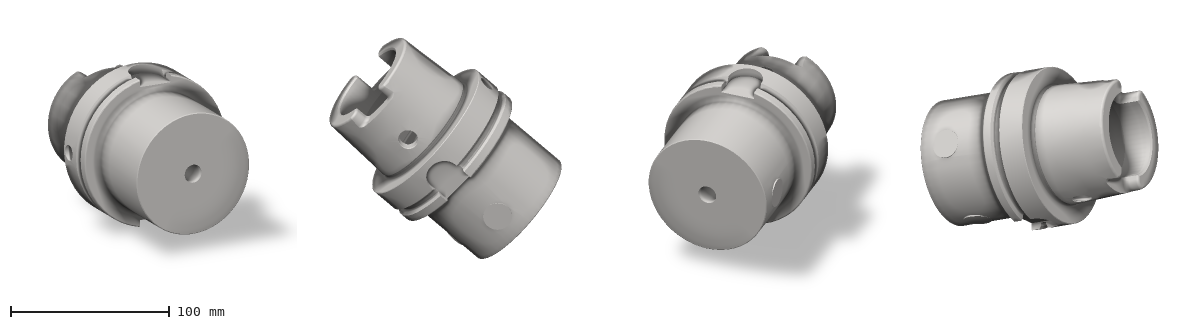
import cadquery as cq
import math


total_length = 129.9
taper_end_x = 47.3
taper_end_radius = 38.0
taper_slope = 0.05
tip_round = 1.7
relief_start_x = 48.0
relief_radius = 37.5
neck_round = 1.2
face_undercut_depth = 0.1
face_undercut_radius = 39.5

flange_face_x = 50.0
flange_back_x = 78.7
flange_radius = 50.0
flange_chamfer = 0.4
flange_back_round = 0.9
groove_start_x = 66.5
groove_end_x = 72.9
groove_floor_start_x = 68.8
groove_floor_end_x = 71.0
groove_floor_round = 0.8
groove_depth = 4.0
groove_side_angle = 30.0

nose_radius = 40.0
nose_root_round = 3.0
nose_chamfer = 0.5

mouth_radius = 26.2
mouth_chamfer = 1.0
lip_end_x = 19.5
cavity_radius = 31.5
cavity_widest_x = 39.4
cavity_back_radius = 26.2
cavity_floor_x = 50.7
cavity_floor_round = 1.4
tube_seat_radius = 11.2
tube_seat_chamfer = 0.9
tube_seat_depth = 13.0
coolant_radius = 6.0

drive_half_width = 9.94
drive_corner_radius = 5.2
drive_corner_z = 27.1
drive_outer_half_width = 24.7
drive_edge_round = 1.7
drive_floor_round = 2.3
upper_drive_depth = 15.3
lower_drive_depth = 10.0

access_hole_x = 35.2
access_hole_radius = 6.0
access_hole_chamfer = 0.4
keyway_start_x = 54.5
keyway_width = 22.1
keyway_floor_z = 44.0
chip_hole_x = 56.8
chip_hole_radius = 5.1
chip_hole_depth = 4.5

screw_x = 111.5
screw_radius = 9.1
screw_length = 19.5
screw_directions = [cq.Vector(0, 1, 0), cq.Vector(0, 0, -1)]


def revolve_about_x(profile):
    return profile.close().revolve(360, (0, 0, 0), (1, 0, 0))


def half_turn(body):
    return body.rotate((0, 0, 0), (1, 0, 0), 180)


def outer_body():
    tip_radius = taper_end_radius - taper_slope * (taper_end_x - tip_round)
    undercut_x = flange_face_x + face_undercut_depth
    groove_floor_radius = flange_radius - groove_depth
    groove_wall_start_x = groove_floor_start_x - groove_floor_round
    groove_wall_end_x = groove_floor_end_x + groove_floor_round
    rise_per_run = 1 / math.tan(math.radians(groove_side_angle))
    front_slope_depth = (groove_wall_start_x - groove_start_x) * rise_per_run
    back_slope_depth = (groove_end_x - groove_wall_end_x) * rise_per_run
    profile = (
        cq.Workplane("XY")
        .lineTo(0, tip_radius - tip_round)
        .radiusArc((tip_round, tip_radius), tip_round)
        .lineTo(taper_end_x, taper_end_radius)
        .lineTo(relief_start_x, relief_radius)
        .lineTo(undercut_x - neck_round, relief_radius)
        .radiusArc((undercut_x, relief_radius + neck_round), -neck_round)
        .lineTo(flange_face_x, face_undercut_radius)
        .lineTo(flange_face_x, flange_radius - flange_chamfer)
        .lineTo(flange_face_x + flange_chamfer, flange_radius)
        .lineTo(groove_start_x, flange_radius)
        .lineTo(groove_wall_start_x, flange_radius - front_slope_depth)
        .lineTo(groove_wall_start_x, groove_floor_radius + groove_floor_round)
        .radiusArc((groove_floor_start_x, groove_floor_radius), -groove_floor_round)
        .lineTo(groove_floor_end_x, groove_floor_radius)
        .radiusArc((groove_wall_end_x, groove_floor_radius + groove_floor_round), -groove_floor_round)
        .lineTo(groove_wall_end_x, flange_radius - back_slope_depth)
        .lineTo(groove_end_x, flange_radius)
        .lineTo(flange_back_x - flange_back_round, flange_radius)
        .radiusArc((flange_back_x, flange_radius - flange_back_round), flange_back_round)
        .lineTo(flange_back_x, nose_radius + nose_root_round)
        .radiusArc((flange_back_x + nose_root_round, nose_radius), -nose_root_round)
        .lineTo(total_length - nose_chamfer, nose_radius)
        .lineTo(total_length, nose_radius - nose_chamfer)
        .lineTo(total_length, 0)
    )
    return revolve_about_x(profile)


def cavity():
    seat_end_x = cavity_floor_x + tube_seat_depth
    profile = (
        cq.Workplane("XY")
        .lineTo(0, mouth_radius + mouth_chamfer)
        .lineTo(mouth_chamfer, mouth_radius)
        .lineTo(lip_end_x, mouth_radius)
        .lineTo(cavity_widest_x, cavity_radius)
        .lineTo(cavity_floor_x - cavity_floor_round, cavity_back_radius)
        .radiusArc((cavity_floor_x, cavity_back_radius - cavity_floor_round), cavity_floor_round)
        .lineTo(cavity_floor_x, tube_seat_radius + tube_seat_chamfer)
        .lineTo(cavity_floor_x + tube_seat_chamfer, tube_seat_radius)
        .lineTo(seat_end_x, tube_seat_radius)
        .lineTo(seat_end_x, coolant_radius)
        .lineTo(total_length, coolant_radius)
        .lineTo(total_length, 0)
    )
    return revolve_about_x(profile)


def drive_corner_edges(body, x):
    """Edges of the wall and round corner of the drive profile that lie in the plane at x."""
    margin = 0.1
    corner_top = drive_corner_z + drive_corner_radius
    box = cq.selectors.BoxSelector(
        (x - margin, margin - drive_outer_half_width, margin),
        (x + margin, drive_outer_half_width - margin, corner_top),
    )
    return body.edges(box)


def drive_tooth(depth, side):
    """Block beside the drive slot, on the side given by the sign of Y, with its edge at the tip rounded.

    Its wall runs up into a round corner that ends where it is farthest from the X axis.
    From there the outline leaves radially, outside the taper.
    """
    corner_y = drive_half_width + drive_corner_radius
    corner_distance = math.hypot(corner_y, drive_corner_z)
    outermost = (corner_distance + drive_corner_radius) / corner_distance
    beyond = flange_radius / corner_distance
    tooth = (
        cq.Workplane("YZ")
        .moveTo(side * drive_outer_half_width, 0)
        .lineTo(side * drive_half_width, 0)
        .lineTo(side * drive_half_width, drive_corner_z)
        .radiusArc((side * corner_y * outermost, drive_corner_z * outermost), side * drive_corner_radius)
        .lineTo(side * corner_y * beyond, drive_corner_z * beyond)
        .lineTo(side * drive_outer_half_width, drive_corner_z * beyond)
        .close()
        .extrude(depth)
    )
    return drive_corner_edges(tooth, 0).fillet(drive_edge_round)


def drive_slot(depth):
    """Cutter for one drive slot: a wide block less the two teeth, with its floor corner rounded."""
    slot = cq.Workplane("XY").box(
        depth, 2 * drive_outer_half_width, taper_end_radius, centered=(False, True, False)
    )
    for side in (-1, 1):
        slot = slot.cut(drive_tooth(depth, side))
    return drive_corner_edges(slot, depth).fillet(drive_floor_round)


def keyway():
    end_radius = keyway_width / 2
    center_x = keyway_start_x + end_radius
    return (
        cq.Workplane("XY", origin=(0, 0, keyway_floor_z))
        .moveTo(flange_back_x, -end_radius)
        .lineTo(center_x, -end_radius)
        .threePointArc((keyway_start_x, 0), (center_x, end_radius))
        .lineTo(flange_back_x, end_radius)
        .close()
        .extrude(flange_radius - keyway_floor_z)
    )


def screw(direction):
    end = direction * nose_radius + cq.Vector(screw_x, 0, 0)
    return cq.Solid.makeCylinder(screw_radius, screw_length, end, direction * -1)


def access_hole():
    """Radial hole through one wall of the shank, with its rim countersunk."""
    rim_z = taper_end_radius - taper_slope * (taper_end_x - access_hole_x)
    bore = cq.Workplane("XY").circle(access_hole_radius).extrude(taper_end_radius)
    rim_radius = access_hole_radius + access_hole_chamfer
    countersink_top_z = rim_z - access_hole_chamfer
    countersink_bottom_z = countersink_top_z - access_hole_chamfer
    rim = (
        cq.Workplane("XZ")
        .moveTo(0, countersink_bottom_z)
        .lineTo(access_hole_radius, countersink_bottom_z)
        .lineTo(rim_radius, countersink_top_z)
        .lineTo(rim_radius, taper_end_radius)
        .lineTo(0, taper_end_radius)
        .close()
        .revolve(360, (0, 0, 0), (0, 1, 0))
    )
    return bore.union(rim).translate((access_hole_x, 0, 0))


def chip_hole():
    floor_y = chip_hole_depth - flange_radius
    floor_plane = cq.Workplane("XZ", origin=(chip_hole_x, floor_y, 0))
    return floor_plane.circle(chip_hole_radius).extrude(chip_hole_depth)


screws = [screw(direction) for direction in screw_directions]

housing = outer_body().cut(cavity()).cut(chip_hole())
housing = housing.cut(drive_slot(upper_drive_depth)).cut(half_turn(drive_slot(lower_drive_depth)))
for cutter in (access_hole(), keyway()):
    housing = housing.cut(cutter).cut(half_turn(cutter))
for body in screws:
    housing = housing.cut(cq.Workplane(body))

result = cq.Compound.makeCompound([housing.solids().val(), *screws])